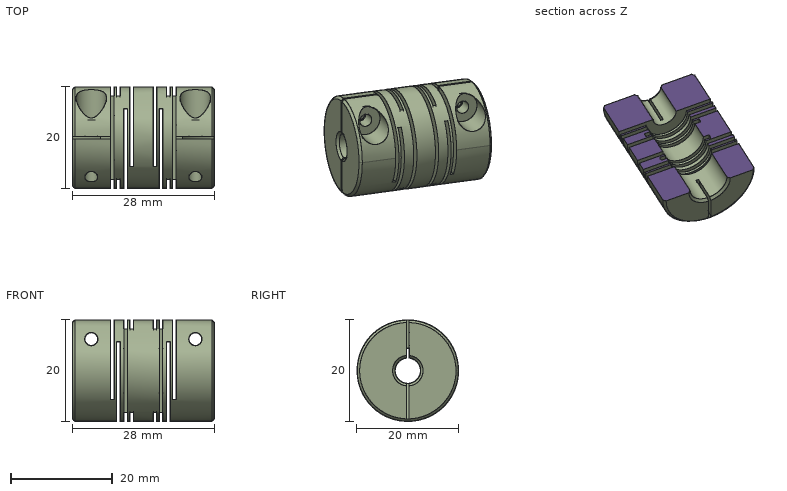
import cadquery as cq


length = 28.0
outer_radius = 10.0
edge_chamfer = 0.5
half_length = length / 2

left_bore_radius = 4.0
right_bore_radius = 2.5
relief_radius = 4.4

slot_width = 0.67
slot_floor = 5.65
slot_offsets = {
    "+Z": 6.1,
    "-Z": 4.93,
    "-Y": 3.47,
    "+Y": 2.3,
}
hub_inner_end = slot_offsets["+Z"] + slot_width / 2

slit_width = 0.5
saw_radius = 14.0
saw_overhang = 6.65
saw_height = 2.85

screw_inset = 3.75
screw_height = 6.22
screw_radius = 1.25
head_radius = 3.0
head_seat = 3.5

sides = (-1, 1)


def cylinder_along_x(radius, start, end):
    return cq.Workplane("YZ", origin=(start, 0, 0)).circle(radius).extrude(end - start)


def cylinder_along_y(radius, x, z, start, end):
    return cq.Workplane("XZ", origin=(x, start, z)).circle(radius).extrude(start - end)


def chamfered_bore(side, radius):
    """Half-length bore from one hub end, with a conical lead-in."""
    mouth_radius = radius + edge_chamfer
    profile = [
        (0, 0),
        (side * half_length, 0),
        (side * half_length, mouth_radius),
        (side * (half_length - edge_chamfer), radius),
        (0, radius),
    ]
    return cq.Workplane("XY").polyline(profile).close().revolve(360, (0, 0, 0), (1, 0, 0))


def beam_slot(direction, x):
    """Cross cut that opens to one direction and stops at a flat floor past the axis."""
    sign = 1 if direction[0] == "+" else -1
    depth = outer_radius + slot_floor
    center = sign * (outer_radius - slot_floor) / 2
    if direction[1] == "Z":
        return cq.Workplane("XY").box(slot_width, 2 * outer_radius, depth).translate((x, 0, center))
    return cq.Workplane("XY").box(slot_width, depth, 2 * outer_radius).translate((x, center, 0))


def clamp_slit(side):
    upper_length = half_length - hub_inner_end
    upper_cut = (
        cq.Workplane("XY")
        .box(upper_length, slit_width, outer_radius, centered=(True, True, False))
        .translate((side * (hub_inner_end + upper_length / 2), 0, 0))
    )
    saw_cut = cylinder_along_y(
        saw_radius, side * (half_length + saw_overhang), saw_height, -slit_width / 2, slit_width / 2
    )
    return upper_cut.union(saw_cut)


def screw_hole(side):
    x = side * (half_length - screw_inset)
    shank = cylinder_along_y(screw_radius, x, screw_height, -outer_radius, outer_radius)
    head = cylinder_along_y(head_radius, x, screw_height, head_seat, outer_radius)
    return shank.union(head)


body = cylinder_along_x(outer_radius, -half_length, half_length)
body = body.faces("<X or >X").chamfer(edge_chamfer)

body = body.cut(chamfered_bore(-1, left_bore_radius))
body = body.cut(chamfered_bore(1, right_bore_radius))
body = body.cut(cylinder_along_x(relief_radius, -hub_inner_end, hub_inner_end))

for side in sides:
    for direction, offset in slot_offsets.items():
        body = body.cut(beam_slot(direction, side * offset))
    body = body.cut(clamp_slit(side))
    body = body.cut(screw_hole(side))

result = body